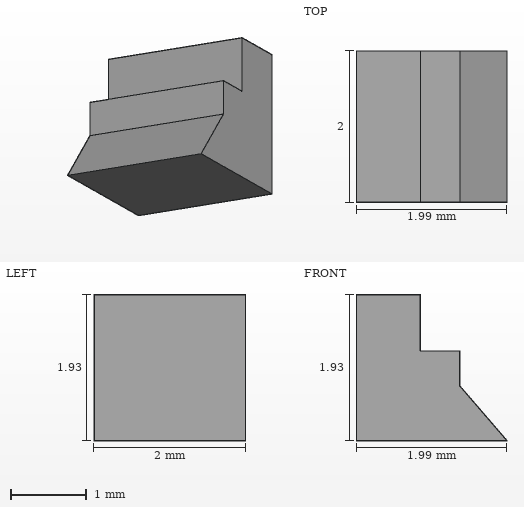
import cadquery as cq

length = 1.99
width = 2.0
height = 1.93

block_length = 0.845
step_length = 1.365
step_height = 1.188
slope_top_height = 0.725

profile = [
    (0, 0),
    (length, 0),
    (step_length, slope_top_height),
    (step_length, step_height),
    (block_length, step_height),
    (block_length, height),
    (0, height),
]

result = cq.Workplane("XZ").polyline(profile).close().extrude(width / 2, both=True)